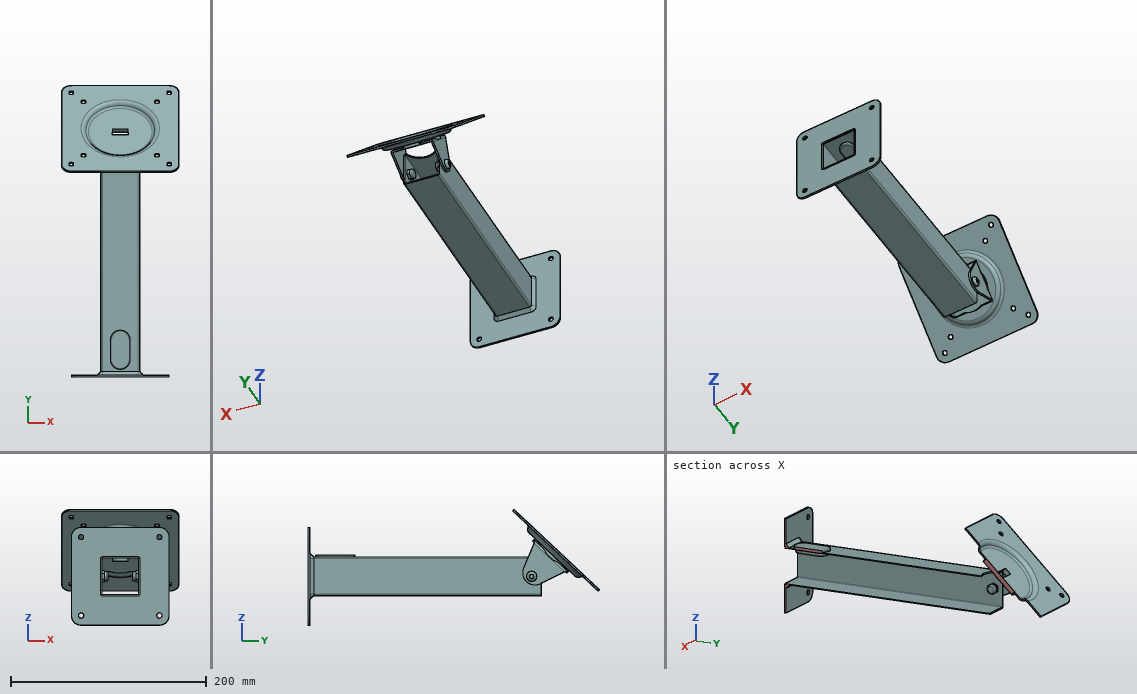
import cadquery as cq
import math

WALL_PLATE_SIZE = 100.0
WALL_PLATE_THICKNESS = 2.0
PLATE_CORNER_RADIUS = 10.0
WALL_HOLE_SPACING = 80.0
WALL_HOLE_DIAMETER = 5.2
OPENING_SIZE = 40.6
OPENING_CORNER_RADIUS = 3.0
OPENING_RECESS = 1.0

TUBE_SIZE = 40.0
TUBE_WALL = 1.5
TUBE_CORNER_RADIUS = 2.0
TUBE_END = 238.5
SADDLE_DIAMETER = 36.0
SADDLE_SETBACK = 12.0
WELD_WIDTH = 3.6
WELD_HEIGHT = 4.0

PLUG_CAP_LENGTH = 40.0
PLUG_CAP_WIDTH = 20.0
PLUG_CAP_HEIGHT = 2.0
PLUG_CAP_ROUNDING = 0.8
PLUG_CAP_START = 8.0
PLUG_BODY_WIDTH = 16.0
PLUG_BODY_DEPTH = 5.0
PLUG_BODY_ROUNDING = 1.0

TILT_ANGLE = 43.2
PIVOT_FROM_TUBE_END = 10.0
PIVOT_TO_PLATE_FACE = 37.5

SCREEN_PLATE_WIDTH = 120.0
SHEET = 2.0
SCREEN_HOLE_SPACINGS = (75.0, 100.0)
SCREEN_HOLE_DIAMETER = 5.0
DISH_RIM_RADIUS = 40.0
DISH_FLOOR_RADIUS = 32.5
DISH_DEPTH = 5.0
DISH_RIM_BEND_RADIUS = 5.4
CABLE_SLOT_WIDTH = 16.0
CABLE_SLOT_HEIGHT = 8.0

SPACER_DIAMETER = 48.0
SPACER_STANDOFF = 1.5

BRACKET_LENGTH = 45.0
BRACKET_CLEARANCE = 1.5
BRACKET_BEND_RADIUS = 2.5
BRACKET_TIP_RADIUS = 12.5
BRACKET_TIP_CENTER = 5.0

SCREW_DIAMETER = 6.0
HEAD_DIAMETER = 10.5
HEAD_TOP_DIAMETER = 5.2
HEAD_HEIGHT = 3.3
SOCKET_ACROSS_FLATS = 4.0
SOCKET_DEPTH = 2.0
NUT_ACROSS_FLATS = 10.0
NUT_HEX_HEIGHT = 2.5
NUT_COLLAR_HEIGHT = 3.5
NUT_COLLAR_ROUNDING = 1.5

TUBE_HALF = TUBE_SIZE / 2
TUBE_INSIDE = TUBE_SIZE - 2 * TUBE_WALL
PIVOT_Y = TUBE_END - PIVOT_FROM_TUBE_END
PLATE_UNDERSIDE = PIVOT_TO_PLATE_FACE - SHEET
DISH_UNDERSIDE = PLATE_UNDERSIDE - DISH_DEPTH
BRACKET_TOP = DISH_UNDERSIDE - SPACER_STANDOFF
BRACKET_UNDERSIDE = BRACKET_TOP - SHEET
BRACKET_INSIDE = TUBE_SIZE + 2 * BRACKET_CLEARANCE
BRACKET_HALF_WIDTH = BRACKET_INSIDE / 2 + SHEET
HEX_CORNER_RATIO = 2 / math.sqrt(3)


def square_bar(size, radius, start, end):
    """Square bar along Y with rounded long edges."""
    bar = cq.Workplane("XY").box(size, end - start, size)
    return bar.translate((0, (start + end) / 2, 0)).edges("|Y").fillet(radius)


def make_wall_plate():
    """Square plate with rounded corners and four screw holes."""
    plate = cq.Workplane("XZ").rect(WALL_PLATE_SIZE, WALL_PLATE_SIZE).extrude(-WALL_PLATE_THICKNESS)
    plate = plate.edges("|Y").fillet(PLATE_CORNER_RADIUS)
    holes = (
        cq.Workplane("XZ")
        .rect(WALL_HOLE_SPACING, WALL_HOLE_SPACING, forConstruction=True)
        .vertices()
        .circle(WALL_HOLE_DIAMETER / 2)
        .extrude(-WALL_PLATE_THICKNESS)
    )
    return plate.cut(holes)


def make_weld_bead():
    """Sloping weld around the foot of the tube."""
    foot_size = TUBE_SIZE + 2 * WELD_WIDTH
    slope_angle = math.degrees(math.atan2(WELD_WIDTH, WELD_HEIGHT))
    return (
        cq.Workplane("XZ", origin=(0, WALL_PLATE_THICKNESS, 0))
        .sketch()
        .rect(foot_size, foot_size)
        .vertices()
        .fillet(TUBE_CORNER_RADIUS + WELD_WIDTH)
        .finalize()
        .extrude(-WELD_HEIGHT, taper=slope_angle)
    )


def make_saddle_cutter():
    """Vertical cylinder that hollows the end of the top wall."""
    center_y = TUBE_END - SADDLE_SETBACK + SADDLE_DIAMETER / 2
    return (
        cq.Workplane("XY", origin=(0, center_y, TUBE_HALF - TUBE_CORNER_RADIUS))
        .circle(SADDLE_DIAMETER / 2)
        .extrude(TUBE_CORNER_RADIUS)
    )


def make_arm():
    """Wall plate, weld and hollow tube; the tube mouth sits in a shallow recess of the plate."""
    arm = make_wall_plate().union(make_weld_bead())
    arm = arm.union(square_bar(TUBE_SIZE, TUBE_CORNER_RADIUS, OPENING_RECESS, TUBE_END))
    arm = arm.cut(square_bar(TUBE_INSIDE, TUBE_CORNER_RADIUS - TUBE_WALL, OPENING_RECESS, TUBE_END))
    arm = arm.cut(square_bar(OPENING_SIZE, OPENING_CORNER_RADIUS, 0, OPENING_RECESS))
    return arm.cut(make_saddle_cutter())


def make_plug():
    """Oval cap on the tube with a narrower body that passes through the top wall."""
    center = (0, PLUG_CAP_START + PLUG_CAP_LENGTH / 2, TUBE_HALF)
    width_difference = PLUG_CAP_WIDTH - PLUG_BODY_WIDTH
    cap = (
        cq.Workplane("XY", origin=center)
        .slot2D(PLUG_CAP_LENGTH, PLUG_CAP_WIDTH, 90)
        .extrude(PLUG_CAP_HEIGHT)
        .faces(">Z")
        .edges()
        .fillet(PLUG_CAP_ROUNDING)
    )
    body = (
        cq.Workplane("XY", origin=center)
        .slot2D(PLUG_CAP_LENGTH - width_difference, PLUG_BODY_WIDTH, 90)
        .extrude(-PLUG_BODY_DEPTH)
        .faces("<Z")
        .edges()
        .fillet(PLUG_BODY_ROUNDING)
    )
    return cap.union(body)


def make_dish(top, rim_bend):
    """Filled dish below height top; its S-shaped wall turns from the rim bend into the floor bend."""
    floor = top - DISH_DEPTH
    run = DISH_RIM_RADIUS - DISH_FLOOR_RADIUS
    turn = 2 * math.atan2(DISH_DEPTH, run)
    floor_bend = run / math.sin(turn) - rim_bend

    def on_rim_bend(angle):
        return (DISH_RIM_RADIUS - rim_bend * math.sin(angle), top - rim_bend * (1 - math.cos(angle)))

    def on_floor_bend(angle):
        return (DISH_FLOOR_RADIUS + floor_bend * math.sin(angle), floor + floor_bend * (1 - math.cos(angle)))

    return (
        cq.Workplane("XZ")
        .moveTo(0, top)
        .lineTo(DISH_RIM_RADIUS, top)
        .threePointArc(on_rim_bend(turn / 2), on_rim_bend(turn))
        .threePointArc(on_floor_bend(turn / 2), (DISH_FLOOR_RADIUS, floor))
        .lineTo(0, floor)
        .close()
        .revolve(360, (0, 0), (0, 1))
    )


def make_screen_plate():
    """Square sheet with a pressed dish and two square hole patterns."""
    plate = (
        cq.Workplane("XY", origin=(0, 0, PLATE_UNDERSIDE))
        .rect(SCREEN_PLATE_WIDTH, SCREEN_PLATE_WIDTH)
        .extrude(SHEET)
        .edges("|Z")
        .fillet(PLATE_CORNER_RADIUS)
    )
    plate = plate.union(make_dish(PLATE_UNDERSIDE, DISH_RIM_BEND_RADIUS - SHEET))
    plate = plate.cut(make_dish(PIVOT_TO_PLATE_FACE, DISH_RIM_BEND_RADIUS))
    for spacing in SCREEN_HOLE_SPACINGS:
        holes = (
            cq.Workplane("XY", origin=(0, 0, PLATE_UNDERSIDE))
            .rect(spacing, spacing, forConstruction=True)
            .vertices()
            .circle(SCREEN_HOLE_DIAMETER / 2)
            .extrude(SHEET)
        )
        plate = plate.cut(holes)
    return plate


def make_spacer():
    """Disc under the dish, let into the base of the bracket."""
    return (
        cq.Workplane("XY", origin=(0, 0, BRACKET_UNDERSIDE))
        .circle(SPACER_DIAMETER / 2)
        .extrude(DISH_UNDERSIDE - BRACKET_UNDERSIDE)
    )


def make_bracket():
    """Bent U: a base under the dish and two tapering legs beside the tube."""
    leg_length = BRACKET_TOP + BRACKET_TIP_RADIUS
    outside = (
        cq.Workplane("XY")
        .box(2 * BRACKET_HALF_WIDTH, BRACKET_LENGTH, leg_length, centered=(True, True, False))
        .translate((0, 0, BRACKET_TOP - leg_length))
        .edges("|Y and >Z")
        .fillet(BRACKET_BEND_RADIUS)
    )
    inside = (
        cq.Workplane("XY")
        .box(BRACKET_INSIDE, BRACKET_LENGTH, leg_length, centered=(True, True, False))
        .translate((0, 0, BRACKET_UNDERSIDE - leg_length))
        .edges("|Y and >Z")
        .fillet(BRACKET_BEND_RADIUS - SHEET)
    )
    half_length = BRACKET_LENGTH / 2
    rise = BRACKET_TOP - BRACKET_TIP_CENTER
    reach = math.hypot(half_length, rise)
    tangent_angle = math.atan2(rise, half_length) - math.acos(BRACKET_TIP_RADIUS / reach)
    tangent_y = BRACKET_TIP_RADIUS * math.cos(tangent_angle)
    tangent_z = BRACKET_TIP_CENTER + BRACKET_TIP_RADIUS * math.sin(tangent_angle)
    outline = (
        cq.Workplane("YZ")
        .moveTo(-half_length, BRACKET_TOP)
        .lineTo(half_length, BRACKET_TOP)
        .lineTo(tangent_y, tangent_z)
        .threePointArc((0, BRACKET_TIP_CENTER - BRACKET_TIP_RADIUS), (-tangent_y, tangent_z))
        .close()
        .extrude(BRACKET_HALF_WIDTH, both=True)
    )
    return outside.cut(inside).intersect(outline)


def make_head():
    """Screen plate, spacer and bracket with the cable slot, tilted about the pivot axis."""
    head = make_screen_plate().union(make_bracket()).union(make_spacer())
    slot_height = PIVOT_TO_PLATE_FACE - BRACKET_UNDERSIDE
    slot = (
        cq.Workplane("XY", origin=(0, 0, BRACKET_UNDERSIDE))
        .rect(CABLE_SLOT_WIDTH, CABLE_SLOT_HEIGHT)
        .extrude(slot_height)
    )
    head = head.cut(slot)
    return head.rotate((0, 0, 0), (1, 0, 0), -TILT_ANGLE).translate((0, PIVOT_Y, 0))


def make_pivot_screw():
    """Button-head screw and lock nut on the +X side, axis along X."""
    nut_face = TUBE_INSIDE / 2
    nut_end = nut_face - NUT_HEX_HEIGHT - NUT_COLLAR_HEIGHT
    head_end = BRACKET_HALF_WIDTH + HEAD_HEIGHT

    def on_axis(x):
        return cq.Workplane("YZ", origin=(x, PIVOT_Y, 0))

    shank = on_axis(nut_end).circle(SCREW_DIAMETER / 2).extrude(BRACKET_HALF_WIDTH - nut_end)
    rim = HEAD_DIAMETER / 2
    top = HEAD_TOP_DIAMETER / 2
    dome_mid = (
        BRACKET_HALF_WIDTH + HEAD_HEIGHT * math.sin(math.pi / 4),
        PIVOT_Y + top + (rim - top) * math.cos(math.pi / 4),
    )
    head = (
        cq.Workplane("XY")
        .moveTo(BRACKET_HALF_WIDTH, PIVOT_Y)
        .lineTo(BRACKET_HALF_WIDTH, PIVOT_Y + rim)
        .threePointArc(dome_mid, (head_end, PIVOT_Y + top))
        .lineTo(head_end, PIVOT_Y)
        .close()
        .revolve(360, (0, PIVOT_Y), (1, PIVOT_Y))
    )
    socket = (
        on_axis(head_end)
        .polygon(6, SOCKET_ACROSS_FLATS * HEX_CORNER_RATIO)
        .extrude(-SOCKET_DEPTH)
    )
    hexagon = (
        on_axis(nut_face)
        .transformed(rotate=(0, 0, 90))
        .polygon(6, NUT_ACROSS_FLATS * HEX_CORNER_RATIO)
        .extrude(-NUT_HEX_HEIGHT)
    )
    collar = (
        on_axis(nut_face - NUT_HEX_HEIGHT)
        .circle(NUT_ACROSS_FLATS / 2)
        .extrude(-NUT_COLLAR_HEIGHT)
        .faces("<X")
        .edges()
        .fillet(NUT_COLLAR_ROUNDING)
    )
    return shank.union(head.cut(socket)).union(hexagon).union(collar)


screw = make_pivot_screw()
result = make_arm().union(make_plug()).union(make_head())
result = result.union(screw).union(screw.mirror("YZ"))